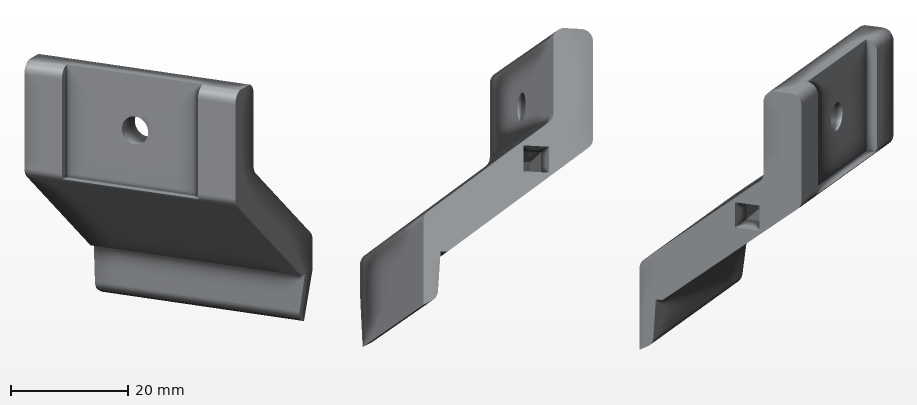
import cadquery as cq

width = 40.0
depth = 30.0
height = 49.4

plate_thickness = 7.0
slope_foot_y = 25.75
front_bend_z = 29.45
rear_bend_z = 33.5
lip_top_z = 9.45
lip_root_thickness = 3.0
lip_tip_thickness = 2.45
lip_tip_z = 1.35
corner_radius = 2.02
slope_foot_radius = 0.5

recess_width = 25.8
recess_depth = 2.0
recess_height = 20.0
hole_diameter = 5.0

socket_side = 4.5
socket_end_side = 1.5
socket_straight_depth = 5.0
socket_y = 10.05
socket_z = 26.35

lip_end_setback = 1.65


def side_profile_body():
    """Plate, sloping web and lip, as one profile extruded along X."""
    slope = (front_bend_z - lip_top_z) / slope_foot_y
    lip_bend_z = rear_bend_z - (depth - plate_thickness) * slope

    body = (
        cq.Workplane("YZ")
        .moveTo(0, height)
        .lineTo(0, front_bend_z)
        .lineTo(slope_foot_y, lip_top_z)
        .lineTo(depth - lip_root_thickness, lip_top_z)
        .lineTo(depth - lip_tip_thickness, lip_tip_z)
        .lineTo(depth, 0)
        .lineTo(depth, lip_bend_z)
        .lineTo(plate_thickness, rear_bend_z)
        .lineTo(plate_thickness, height)
        .close()
        .extrude(width)
    )
    rounded_corners = (
        (0, height, corner_radius),
        (plate_thickness, height, corner_radius),
        (0, front_bend_z, corner_radius),
        (plate_thickness, rear_bend_z, corner_radius),
        (depth, lip_bend_z, corner_radius),
        (slope_foot_y, lip_top_z, slope_foot_radius),
        (depth - lip_tip_thickness, lip_tip_z, corner_radius),
    )
    for y, z, radius in rounded_corners:
        corner_edge = cq.selectors.NearestToPointSelector((width / 2, y, z))
        body = body.edges("|X").edges(corner_edge).fillet(radius)
    return body


def front_recess():
    """Shallow recess, open at the top of the plate."""
    return cq.Workplane("XY").box(
        recess_width, recess_depth, recess_height, centered=(True, False, False)
    ).translate((width / 2, 0, height - recess_height))


def screw_hole():
    """Hole through the plate at the middle of the recess."""
    return (
        cq.Workplane("XZ", origin=(width / 2, 0, height - recess_height / 2))
        .circle(hole_diameter / 2)
        .extrude(-plate_thickness)
    )


def side_socket():
    """Blind square socket: straight sides, then a short taper to a smaller end."""
    taper_depth = (socket_side - socket_end_side) / 2
    return (
        cq.Workplane("YZ", origin=(0, socket_y, socket_z))
        .rect(socket_side, socket_side)
        .extrude(socket_straight_depth)
        .faces(">X")
        .workplane()
        .rect(socket_side, socket_side)
        .workplane(offset=taper_depth)
        .rect(socket_end_side, socket_end_side)
        .loft(ruled=True, combine=True)
    )


def lip_end_taper():
    """Wedge beyond the slanted right end of the lip."""
    return (
        cq.Workplane("XZ")
        .moveTo(width, lip_top_z)
        .lineTo(width - lip_end_setback, 0)
        .lineTo(width, 0)
        .close()
        .extrude(-depth)
    )


result = (
    side_profile_body()
    .cut(front_recess())
    .cut(screw_hole())
    .cut(side_socket())
    .cut(lip_end_taper())
)